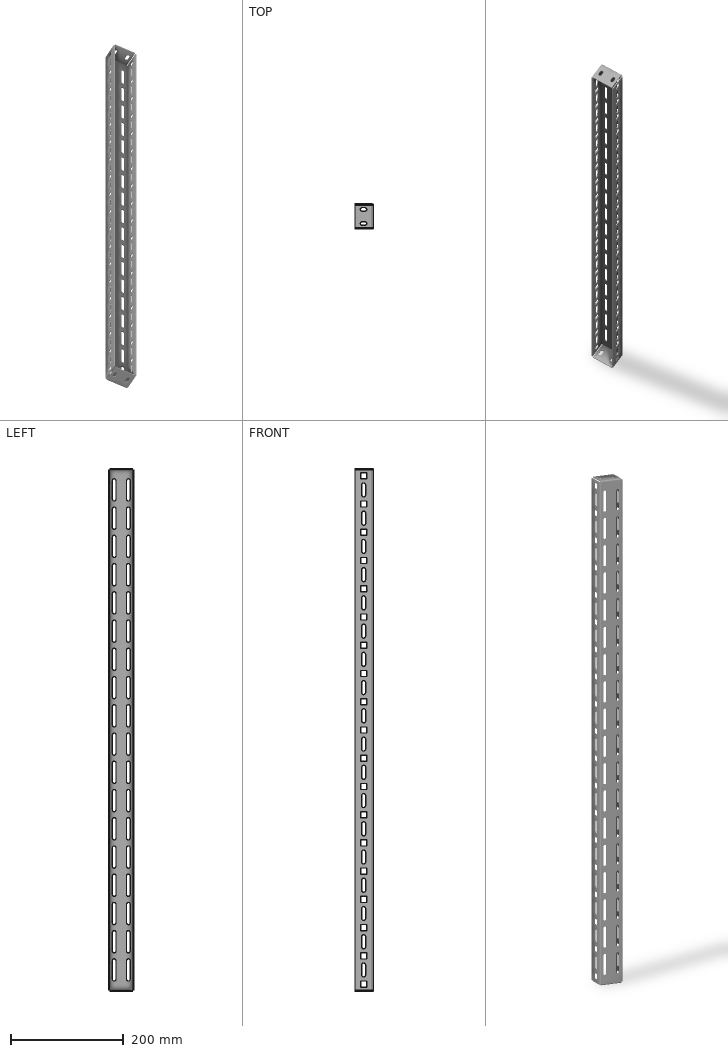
import cadquery as cq

DEPTH = 33.0
WIDTH = 45.0
LENGTH = 926.0
SHEET = 1.75
BEND_RADIUS = 2.5

CORNER_GAP = 0.8
TAB_WIDTH = WIDTH - 2 * (SHEET + CORNER_GAP)
WALL_LENGTH = LENGTH - 2 * BEND_RADIUS

PITCH = 50.0
SPAN_COUNT = 18
SQUARE_COUNT = SPAN_COUNT + 1

SIDE_HOLE_X = -1.0
SQUARE_SIDE = 10.3
SIDE_SLOT_WIDTH = 6.5
SIDE_SLOT_LENGTH = 24.5

ROW_OFFSET_Y = 12.5
ROWS_Y = (-ROW_OFFSET_Y, ROW_OFFSET_Y)
SLOT_WIDTH = 6.0
BACK_SLOT_LENGTH = 39.0
TAB_SLOT_X = -1.25
TAB_SLOT_LENGTH = 11.0

UPRIGHT = 90.0


def folded_channel(width, length):
    """Channel along Z, open toward -X, with a bend on each side of its back."""
    outer = cq.Workplane("XY").box(DEPTH, width, length).edges("|Z and >X").fillet(BEND_RADIUS)
    cavity = (
        cq.Workplane("XY")
        .box(DEPTH, width - 2 * SHEET, length)
        .edges("|Z and >X")
        .fillet(BEND_RADIUS - SHEET)
        .translate((-SHEET, 0, 0))
    )
    return outer.cut(cavity)


def back_and_side_walls():
    return folded_channel(WIDTH, WALL_LENGTH)


def back_and_end_tabs():
    """The same fold turned about X, so that its flanges close the ends of the channel."""
    return folded_channel(LENGTH, TAB_WIDTH).rotate((0, 0, 0), (1, 0, 0), 90)


def heights(count):
    """Z of holes spaced one pitch apart and centred on the length."""
    lowest = -(count - 1) * PITCH / 2
    return [lowest + i * PITCH for i in range(count)]


def side_squares():
    points = [(SIDE_HOLE_X, z) for z in heights(SQUARE_COUNT)]
    return cq.Workplane("XZ").pushPoints(points).rect(SQUARE_SIDE, SQUARE_SIDE).extrude(WIDTH, both=True)


def side_slots():
    points = [(SIDE_HOLE_X, z) for z in heights(SPAN_COUNT)]
    outlines = cq.Workplane("XZ").pushPoints(points).slot2D(SIDE_SLOT_LENGTH, SIDE_SLOT_WIDTH, UPRIGHT)
    return outlines.extrude(WIDTH, both=True)


def back_slots():
    points = [(y, z) for y in ROWS_Y for z in heights(SPAN_COUNT)]
    outlines = cq.Workplane("YZ").pushPoints(points).slot2D(BACK_SLOT_LENGTH, SLOT_WIDTH, UPRIGHT)
    return outlines.extrude(DEPTH)


def tab_slots():
    points = [(TAB_SLOT_X, y) for y in ROWS_Y]
    outlines = cq.Workplane("XY").pushPoints(points).slot2D(TAB_SLOT_LENGTH, SLOT_WIDTH)
    return outlines.extrude(LENGTH, both=True)


result = (
    back_and_side_walls()
    .union(back_and_end_tabs())
    .cut(side_squares())
    .cut(side_slots())
    .cut(back_slots())
    .cut(tab_slots())
)